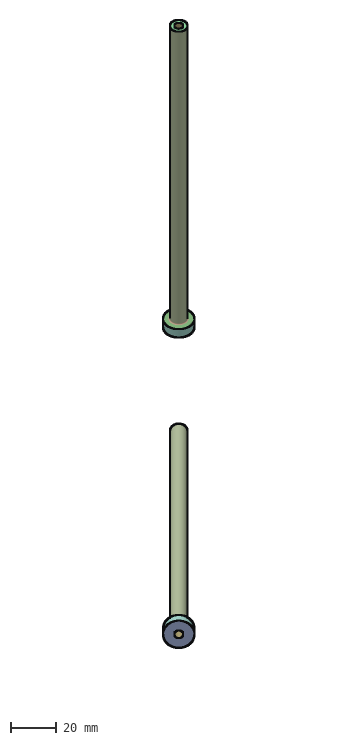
import cadquery as cq

total_length = 180.0
head_diameter = 14.0
head_height = 5.0
tube_diameter = 8.0
bore_diameter = 4.0
neck_fillet = 0.5

head = cq.Workplane("XY").circle(head_diameter / 2).extrude(head_height)
tube = cq.Workplane("XY").circle(tube_diameter / 2).extrude(total_length)
body = head.union(tube)

neck_corner = cq.selectors.BoxSelector(
    (-tube_diameter, -tube_diameter, head_height - neck_fillet),
    (tube_diameter, tube_diameter, head_height + neck_fillet),
)
neck_edges = body.edges(neck_corner).edges(cq.selectors.RadiusNthSelector(0))
body = neck_edges.fillet(neck_fillet)

bore = cq.Workplane("XY").circle(bore_diameter / 2).extrude(total_length)
result = body.cut(bore)